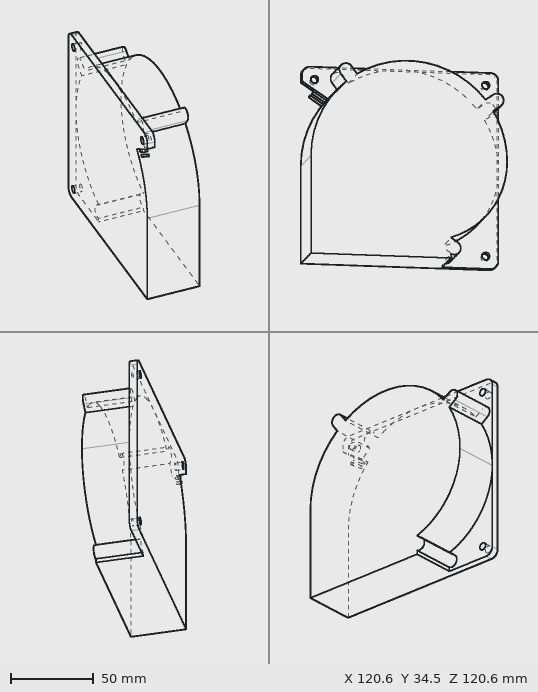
import cadquery as cq
import math

side = 120.6
depth = 34.5
plate_thickness = 5.0
corner_radius = 5.0

hole_inset = 7.7
hole_diameter = 4.6

scroll_radius = side / 2
inner_scroll_radius = 50.0
scroll_end_angle = 252.0
mid = side / 2

lug_radius = 4.1
lug_root = 9.6
upper_lug_distance = 66.0
upper_lug_angles = (54.0, 145.0)
lower_lug_center = (32.7, 6.3)
lower_lug_angle = 215.0

notch_angle = 42.5
notch_top = 111.4
wire_angle = 34.0
wire_diameter = 1.7
wire_length = 9.0
wire_embed = 2.4
wire_y = 2.4
wire_starts = ((106.1, 100.1), (108.2, 97.8))


def polar(center, radius, angle):
    """Point at a distance and angle (degrees) from a center in the XZ plane."""
    a = math.radians(angle)
    return center[0] + radius * math.cos(a), center[1] + radius * math.sin(a)


fan_center = (mid, mid)
inner_center = (inner_scroll_radius, mid)
notch_corner = polar(fan_center, scroll_radius, notch_angle)
front = cq.Workplane("XZ")
plate_back = front.workplane(offset=-plate_thickness)
housing_depth = depth - plate_thickness


def make_plate():
    plate = (
        front.moveTo(0, 0)
        .lineTo(side, 0)
        .lineTo(side, mid)
        .threePointArc(polar(fan_center, scroll_radius, notch_angle / 2), notch_corner)
        .lineTo(side, notch_top)
        .lineTo(side, side)
        .lineTo(0, side)
        .close()
        .extrude(-plate_thickness)
    )
    for corner in ("<X and >Z", ">X and >Z", "<X and <Z"):
        plate = plate.edges("|Y").edges(corner).fillet(corner_radius)
    far = side - hole_inset
    holes = (
        front.pushPoints([(hole_inset, hole_inset), (hole_inset, far), (far, far)])
        .circle(hole_diameter / 2)
        .extrude(-plate_thickness)
    )
    return plate.cut(holes)


def make_housing():
    scroll_end = polar(inner_center, inner_scroll_radius, scroll_end_angle)
    inner_arc_middle = polar(inner_center, inner_scroll_radius, (180 + scroll_end_angle) / 2)
    return (
        plate_back.moveTo(side, 0)
        .lineTo(side, mid)
        .threePointArc((mid, side), (0, mid))
        .threePointArc(inner_arc_middle, scroll_end)
        .lineTo(scroll_end[0], 0)
        .close()
        .extrude(-housing_depth)
    )


def make_lug(center, angle):
    """Round-ended lug whose straight sides run back into the housing."""
    root = polar(center, lug_root, angle + 180)
    root_left = polar(root, lug_radius, angle + 90)
    root_right = polar(root, lug_radius, angle - 90)
    return (
        plate_back.moveTo(*root_left)
        .lineTo(*polar(center, lug_radius, angle + 90))
        .threePointArc(polar(center, lug_radius, angle), polar(center, lug_radius, angle - 90))
        .lineTo(*root_right)
        .close()
        .extrude(-housing_depth)
    )


def make_wire(start):
    """Straight wire stub, its inner end buried in the plate."""
    x, z = polar(start, wire_embed, wire_angle + 180)
    end_x, end_z = polar((0, 0), 1, wire_angle)
    return cq.Workplane(
        cq.Solid.makeCylinder(
            wire_diameter / 2,
            wire_length + wire_embed,
            cq.Vector(x, wire_y, z),
            cq.Vector(end_x, 0, end_z),
        )
    )


result = make_plate().union(make_housing())
for lug_angle in upper_lug_angles:
    result = result.union(make_lug(polar(fan_center, upper_lug_distance, lug_angle), lug_angle))
result = result.union(make_lug(lower_lug_center, lower_lug_angle))
for wire_start in wire_starts:
    result = result.union(make_wire(wire_start))